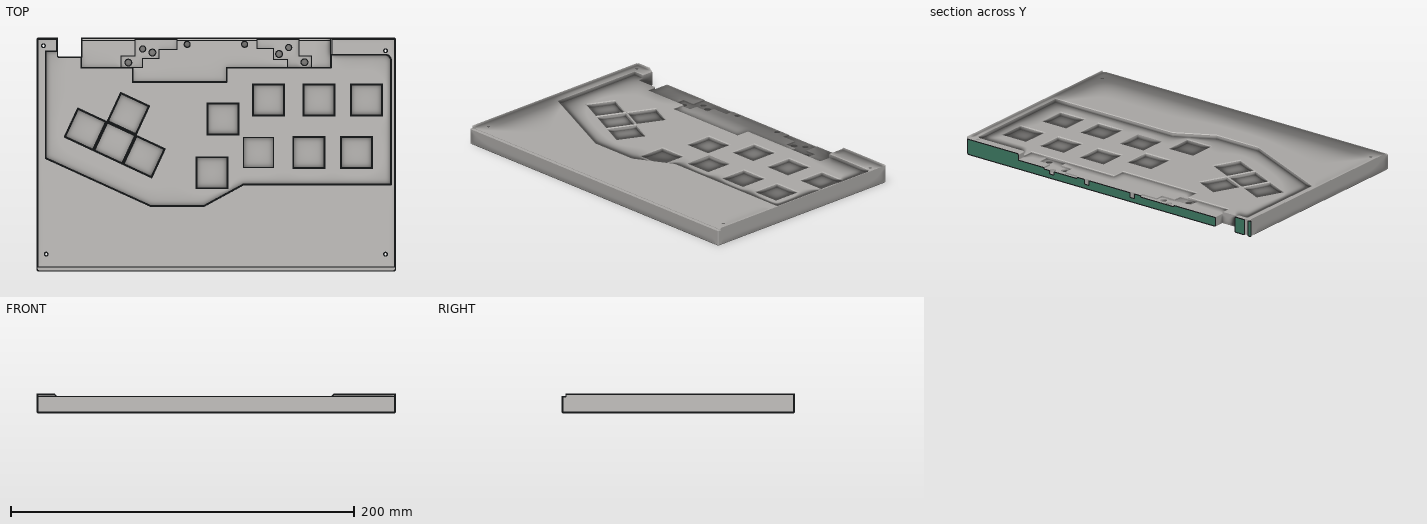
import cadquery as cq
import math

length = 209.0
width = 135.6
height = 11.0
edge_chamfer = 0.73

rim_height = 1.3
deck_z = height - rim_height
front_ledge_z = 9.6
key_plate_z = 7.1
board_z = 5.9
island_z = 5.0

rim_width = 0.73
rim_taper = math.degrees(math.atan(rim_width / rim_height))
front_ledge_depth = 2.3

tab_right = 12.1
notch_right = 26.1
shelf_left = 171.2
notch_front = 124.5
notch_fillet = 0.8
back_bevel = 1.5
step_bevel = 0.73

board_front = 118.7
board_bay_left = 56.0
board_bay_right = 110.4
board_bay_front = 110.4

step_chamfer = 0.5

plate_left = 5.5
plate_right = 206.0
plate_tab_back = 128.0
plate_shelf_back = 125.8
plate_corner_radius = 3.1
plate_back_outline = [
    (plate_left, plate_tab_back),
    (notch_right, plate_tab_back),
    (notch_right, plate_shelf_back),
    (plate_right - plate_corner_radius, plate_shelf_back),
]
plate_front_outline = [
    (plate_right, 50.5),
    (120.2, 50.5),
    (97.2, 38.0),
    (66.5, 38.0),
    (plate_left, 65.8),
]

key_size = 17.5
key_chamfer = 0.52
key_depth = 2.7
key_centers = [
    (135.0, 99.7),
    (164.3, 99.7),
    (192.0, 99.7),
    (158.5, 69.0),
    (186.2, 69.0),
    (108.5, 88.6),
    (102.0, 57.3),
]
plain_key_center = (129.2, 69.0)

arrow_center = (45.4, 74.6)
arrow_pitch = 18.8
arrow_angle = -25
arrow_places = [(-1, 0), (0, 0), (1, 0), (0, 1)]

screw_diameter = 2.0
screw_centers = [(3.8, 131.3), (203.1, 128.3), (5.5, 9.8), (203.1, 9.8)]
pin_diameter = 3.5
pin_depth = 2.0
pin_centers = [(87.5, 132.0), (121.0, 132.0), (61.7, 129.4), (146.7, 130.2)]
boss_diameter = 4.0
boss_centers = [(67.3, 127.3), (53.3, 121.5), (141.0, 126.5), (156.0, 121.6)]

left_island = [
    (57.3, width),
    (57.3, 125.5),
    (49.1, 125.5),
    (49.1, board_front),
    (61.7, board_front),
    (61.7, 124.0),
    (71.0, 124.0),
    (71.0, 129.0),
    (81.5, 129.0),
    (81.5, width),
]
right_island = [
    (128.3, width),
    (128.3, 129.8),
    (138.0, 129.8),
    (138.0, 123.0),
    (145.9, 123.0),
    (145.9, board_front),
    (159.9, board_front),
    (159.9, 125.5),
    (152.5, 125.5),
    (152.5, width),
]


def box(x0, x1, y0, y1, z0, z1):
    return cq.Workplane("XY").box(x1 - x0, y1 - y0, z1 - z0, centered=False).translate((x0, y0, z0))


def prism(points, z0):
    """Straight-sided cutter from z0 up to the top of the case."""
    return cq.Workplane("XY").workplane(offset=z0).polyline(points).close().extrude(height - z0)


def round_cutter(center, diameter, z0):
    return cq.Workplane("XY").workplane(offset=z0).center(*center).circle(diameter / 2).extrude(height - z0)


def key_cutter(chamfer):
    """Square key pocket centred on the origin, its mouth at the key plate."""
    floor_z = key_plate_z - key_depth
    cutter = cq.Workplane("XY").workplane(offset=floor_z).rect(key_size, key_size).extrude(key_depth)
    if chamfer:
        flare = (
            cq.Workplane("XY").workplane(offset=key_plate_z - chamfer)
            .rect(key_size, key_size)
            .workplane(offset=chamfer)
            .rect(key_size + 2 * chamfer, key_size + 2 * chamfer)
            .loft(ruled=True)
        )
        cutter = cutter.union(flare)
    return cutter


def key_plate_sketch(z):
    """Closed key plate outline with a rounded back right corner, drawn at height z."""
    corner_mid = plate_corner_radius * (1 - math.sqrt(0.5))
    sketch = (
        cq.Workplane("XY").workplane(offset=z)
        .polyline(plate_back_outline)
        .threePointArc(
            (plate_right - corner_mid, plate_shelf_back - corner_mid),
            (plate_right, plate_shelf_back - plate_corner_radius),
        )
    )
    for point in plate_front_outline:
        sketch = sketch.lineTo(*point)
    return sketch.close()


case = box(0, length, 0, width, 0, height).edges("|Z").chamfer(edge_chamfer)
case = case.faces("<Z").edges().chamfer(edge_chamfer)

deck_outline = [
    (rim_width, -front_ledge_depth),
    (length - rim_width, -front_ledge_depth),
    (length - rim_width, width - rim_width),
    (rim_width, width - rim_width),
]
deck_cut = cq.Workplane("XY").workplane(offset=deck_z).polyline(deck_outline).close()
case = case.cut(deck_cut.extrude(rim_height, taper=-rim_taper))
case = case.cut(box(0, length, 0, front_ledge_depth, front_ledge_z, height))

case = case.cut(key_plate_sketch(key_plate_z).extrude(height - key_plate_z))
case = case.cut(key_plate_sketch(deck_z - step_chamfer).extrude(step_chamfer, taper=-45))

case = case.cut(box(notch_right, shelf_left, board_front, width, board_z, height))
case = case.cut(box(board_bay_left, board_bay_right, board_bay_front, board_front, board_z, height))
board_edge = [
    (notch_right, plate_shelf_back - step_chamfer),
    (notch_right, board_front),
    (board_bay_left, board_front),
    (board_bay_left, board_bay_front),
    (board_bay_right, board_bay_front),
    (board_bay_right, board_front),
    (shelf_left, board_front),
    (shelf_left, plate_shelf_back - step_chamfer),
]
board_flare = cq.Workplane("XY").workplane(offset=key_plate_z - step_chamfer).polyline(board_edge).close()
case = case.cut(board_flare.extrude(step_chamfer, taper=-45))

for outline in (left_island, right_island):
    case = case.cut(prism(outline, island_z))

bevel = (
    cq.Workplane("YZ").workplane(offset=notch_right)
    .moveTo(width, board_z - back_bevel)
    .lineTo(width, board_z)
    .lineTo(width - back_bevel, board_z)
    .close()
    .extrude(shelf_left - notch_right)
)
case = case.cut(bevel)

for edge_x, y_front, inward in ((tab_right, plate_tab_back, -1), (shelf_left, plate_shelf_back, 1)):
    bevel = (
        cq.Workplane("XZ").workplane(offset=-width)
        .moveTo(edge_x, deck_z - step_bevel)
        .lineTo(edge_x + inward * (step_bevel + rim_height), height)
        .lineTo(edge_x, height)
        .close()
        .extrude(width - y_front)
    )
    case = case.cut(bevel)

notch = box(tab_right, notch_right, notch_front, width, 0, height)
case = case.cut(notch.edges("|Z and <X and <Y").fillet(notch_fillet))

for center in key_centers:
    case = case.cut(key_cutter(key_chamfer).translate(center + (0,)))
case = case.cut(key_cutter(0).translate(plain_key_center + (0,)))
for column, row in arrow_places:
    arrow = key_cutter(key_chamfer).translate((column * arrow_pitch, row * arrow_pitch, 0))
    case = case.cut(arrow.rotate((0, 0, 0), (0, 0, 1), arrow_angle).translate(arrow_center + (0,)))

for center in screw_centers:
    case = case.cut(round_cutter(center, screw_diameter, 0))
for center in pin_centers:
    case = case.cut(round_cutter(center, pin_diameter, island_z - pin_depth))
for center in boss_centers:
    case = case.cut(round_cutter(center, boss_diameter, island_z - pin_depth))

result = case